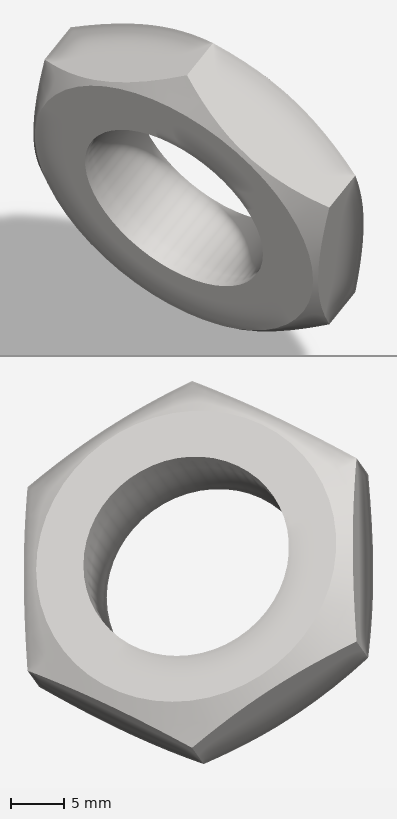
import cadquery as cq
import math

across_corners = 36.95
thickness = 9.0
bore_diameter = 20.0

chamfer_depth = 2.25
front_face_radius = 15.63
back_face_radius = 14.6

corner_radius = across_corners / 2
bore_radius = bore_diameter / 2
half_thickness = thickness / 2
chamfer_start = half_thickness - chamfer_depth


def hexagonal_prism():
    corners = []
    for index in range(6):
        angle = math.radians(90 + 60 * index)
        corners.append((corner_radius * math.cos(angle), corner_radius * math.sin(angle)))
    return cq.Workplane("XZ").polyline(corners).close().extrude(half_thickness, both=True)


def bored_chamfer_envelope():
    """Turned ring around the bore whose two cones cut the hexagon corners back."""
    profile = [
        (bore_radius, -half_thickness),
        (front_face_radius, -half_thickness),
        (corner_radius, -chamfer_start),
        (corner_radius, chamfer_start),
        (back_face_radius, half_thickness),
        (bore_radius, half_thickness),
    ]
    return cq.Workplane("XY").polyline(profile).close().revolve(360, (0, 0), (0, 1))


result = hexagonal_prism().intersect(bored_chamfer_envelope())